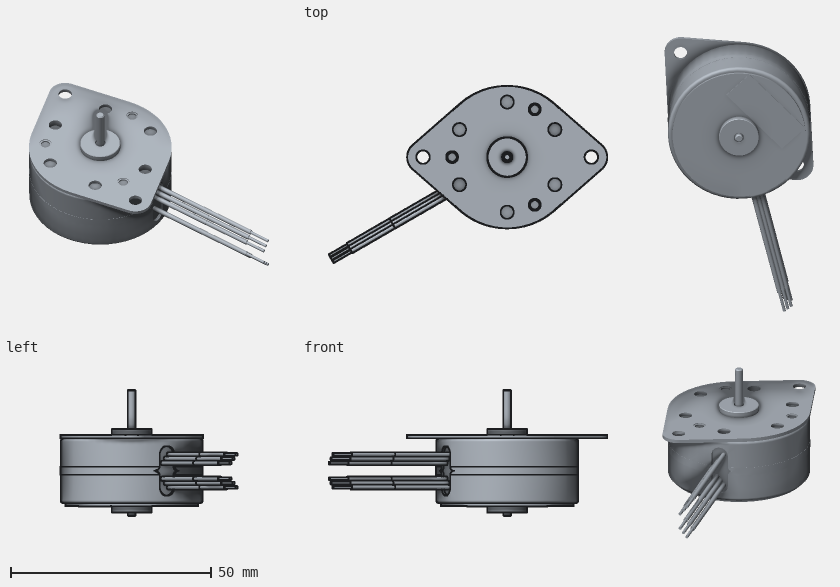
import cadquery as cq
import math


flange_thickness = 0.9
flange_radius = 17.83
ear_hole_offset = 21.0
ear_radius = 4.0
ear_hole_diameter = 3.3

can_radius = 17.75
can_fillet = 0.75
can_height = 16.2
can_bottom = -flange_thickness - can_height
can_middle = -flange_thickness - can_height / 2
band_radius = 17.8
band_height = 2.0

rear_plate_radius = 16.6
rear_plate_thickness = 0.7
rear_plate_bottom = can_bottom - rear_plate_thickness
collar_radius = 5.0
collar_chamfer = 0.15
front_collar_height = 1.5
rear_collar_height = 1.7
rear_collar_bottom = rear_plate_bottom - rear_collar_height
bearing_recess_diameter = 2.6
bearing_recess_depth = 0.5

pad_length = 20.0
pad_width = 8.0
pad_thickness = 0.2
pad_center_y = 9.25

hole_circle_radius = 13.75
round_hole_diameter = 3.3
shallow_hole_angles = (90, 150, 270, 330)
deep_hole_angles = (30, 210)
deep_hole_depth = 1.8
stepped_hole_angles = (60, 180, 300)
step_diameter = 3.0
step_depth = 0.2
stepped_hole_diameter = 2.3
stepped_hole_depth = 0.6

shaft_diameter = 2.0
shaft_top = 11.27
shaft_length = 31.57
shaft_bottom = shaft_top - shaft_length
shaft_chamfer = 0.25

outlet_angle = 210
outlet_width = 4.2
outlet_height = 12.4
outlet_floor = 17.0
outlet_lip_radius = 1.35

wires_per_group = 3
inner_insulation_diameter = 1.2
outer_insulation_diameter = 1.15
conductor_diameter = 0.75
insulation_joint = 33.1
insulation_end = 45.45
conductor_end = 50.72
wire_side_pitch = 0.88
wire_height_pitch = 1.07
group_height_offset = 3.03


def disc(radius, bottom, height):
    return cq.Workplane("XY").workplane(offset=bottom).circle(radius).extrude(height)


def on_circle(radius, angle):
    return (radius * math.cos(math.radians(angle)), radius * math.sin(math.radians(angle)))


def outlet_plane(distance):
    """Upright plane facing out along the wires, its local Y axis along Z."""
    direction_x, direction_y = on_circle(1, outlet_angle)
    return cq.Plane(
        origin=(distance * direction_x, distance * direction_y, can_middle),
        xDir=(-direction_y, direction_x, 0),
        normal=(direction_x, direction_y, 0),
    )


def make_flange():
    """Round plate with an ear on each side, joined by common tangents."""
    tangent_angle = math.degrees(math.acos((flange_radius - ear_radius) / ear_hole_offset))
    round_x, round_y = on_circle(flange_radius, tangent_angle)
    ear_x, ear_y = on_circle(ear_radius, tangent_angle)
    ear_x += ear_hole_offset
    tip_x = ear_hole_offset + ear_radius
    return (
        cq.Workplane("XY")
        .moveTo(ear_x, ear_y)
        .lineTo(round_x, round_y)
        .threePointArc((0, flange_radius), (-round_x, round_y))
        .lineTo(-ear_x, ear_y)
        .threePointArc((-tip_x, 0), (-ear_x, -ear_y))
        .lineTo(-round_x, -round_y)
        .threePointArc((0, -flange_radius), (round_x, -round_y))
        .lineTo(ear_x, -ear_y)
        .threePointArc((tip_x, 0), (ear_x, ear_y))
        .close()
        .extrude(-flange_thickness)
        .pushPoints([(-ear_hole_offset, 0), (ear_hole_offset, 0)])
        .circle(ear_hole_diameter / 2)
        .cutThruAll()
    )


def make_front_holes(angles, diameter, depth):
    points = [on_circle(hole_circle_radius, angle) for angle in angles]
    return cq.Workplane("XY").pushPoints(points).circle(diameter / 2).extrude(-depth)


def make_outlet():
    """Upright rounded slot whose sides flare into a cusp at the middle of the can."""
    plane = outlet_plane(outlet_floor)
    depth = flange_radius - outlet_floor
    slot = cq.Workplane(plane).slot2D(outlet_height, outlet_width, 90).extrude(depth)
    side = outlet_width / 2
    cusp = side + outlet_lip_radius
    bulge = outlet_lip_radius * (1 - math.sqrt(0.5))
    flare = (
        cq.Workplane(plane)
        .moveTo(side, outlet_lip_radius)
        .threePointArc((side + bulge, bulge), (cusp, 0))
        .threePointArc((side + bulge, -bulge), (side, -outlet_lip_radius))
        .lineTo(-side, -outlet_lip_radius)
        .threePointArc((-side - bulge, -bulge), (-cusp, 0))
        .threePointArc((-side - bulge, bulge), (-side, outlet_lip_radius))
        .close()
        .extrude(depth)
    )
    return slot.union(flare)


def make_housing():
    can = disc(can_radius, can_bottom, can_height).edges().fillet(can_fillet)
    band = disc(band_radius, can_middle - band_height / 2, band_height)
    rear_plate = disc(rear_plate_radius, rear_plate_bottom, rear_plate_thickness)
    front_collar = disc(collar_radius, 0, front_collar_height)
    front_collar = front_collar.faces(">Z").edges().chamfer(collar_chamfer)
    rear_collar = disc(collar_radius, rear_collar_bottom, rear_collar_height)
    rear_collar = rear_collar.faces("<Z").edges().chamfer(collar_chamfer)
    rear_pad = (
        cq.Workplane("XY")
        .workplane(offset=rear_plate_bottom)
        .center(0, pad_center_y)
        .rect(pad_length, pad_width)
        .extrude(-pad_thickness)
    )
    body = make_flange()
    for part in (can, band, rear_plate, rear_pad, front_collar, rear_collar):
        body = body.union(part)

    body = body.cut(make_outlet())
    body = body.cut(make_front_holes(shallow_hole_angles, round_hole_diameter, flange_thickness))
    body = body.cut(make_front_holes(deep_hole_angles, round_hole_diameter, deep_hole_depth))
    body = body.cut(make_front_holes(stepped_hole_angles, step_diameter, step_depth))
    body = body.cut(make_front_holes(stepped_hole_angles, stepped_hole_diameter, stepped_hole_depth))

    body = body.cut(disc(shaft_diameter / 2, shaft_bottom, shaft_length))
    recess_radius = bearing_recess_diameter / 2
    front_recess_bottom = front_collar_height - bearing_recess_depth
    body = body.cut(disc(recess_radius, front_recess_bottom, bearing_recess_depth))
    return body.cut(disc(recess_radius, rear_collar_bottom, bearing_recess_depth))


def make_shaft():
    return disc(shaft_diameter / 2, shaft_bottom, shaft_length).edges().chamfer(shaft_chamfer)


def wire_length(diameter, start, end, side, height):
    return (
        cq.Workplane(outlet_plane(start))
        .center(side, height)
        .circle(diameter / 2)
        .extrude(end - start)
    )


def make_wire(side, height):
    """Wire standing on the outlet floor: insulation in two lengths, then a bare conductor."""
    inner = wire_length(inner_insulation_diameter, outlet_floor, insulation_joint, side, height)
    outer = wire_length(outer_insulation_diameter, insulation_joint, insulation_end, side, height)
    conductor = wire_length(conductor_diameter, insulation_end, conductor_end, side, height)
    return inner.union(outer).union(conductor)


housing = make_housing()
shaft = make_shaft()

wires = []
for group in (1, -1):
    for index in range(wires_per_group):
        step = index - (wires_per_group - 1) / 2
        wire_height = group * (group_height_offset + step * wire_height_pitch)
        wires.append(make_wire(step * wire_side_pitch, wire_height))

result = cq.Compound.makeCompound([housing.val(), shaft.val(), *[wire.val() for wire in wires]])